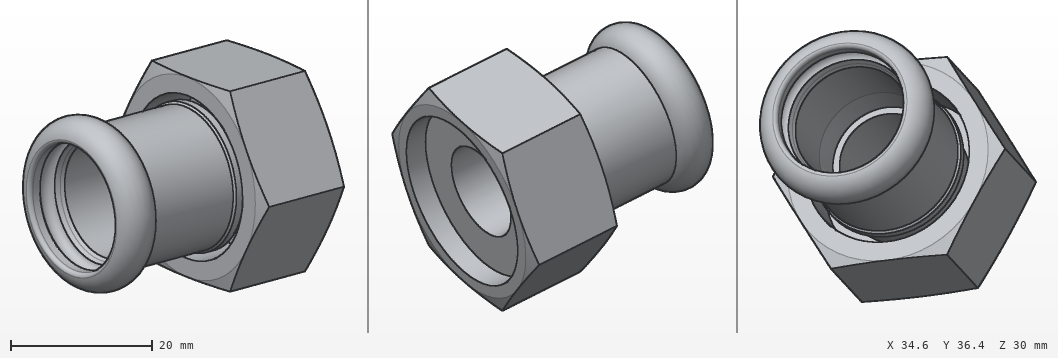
import cadquery as cq
import math

LENGTH = 36.4

ACROSS_FLATS = 30.0
ACROSS_CORNERS = ACROSS_FLATS / math.cos(math.radians(30))
NUT_START = 21.35
NUT_LENGTH = LENGTH - NUT_START
LIP_DIAMETER = 24.4
LIP_THICKNESS = 8.75
LIP_END = NUT_START + LIP_THICKNESS
NUT_BORE_DIAMETER = 26.2
CHAMFER_CIRCLE_DIAMETER = 29.92
CHAMFER_ANGLE = 15.0

TUBE_RADIUS = 21.3 / 2
COLLAR_RADIUS = 22.0 / 2
COLLAR_CONE_START = 20.93
COLLAR_CONE_LENGTH = 0.3
COLLAR_END = 22.5
NECK_RADIUS = 18.7 / 2
FLANGE_START = LIP_END
FLANGE_THICKNESS = 2.9
FLANGE_RADIUS = NUT_BORE_DIAMETER / 2
BEAD_RADIUS = 25.65 / 2
BEAD_LENGTH = 6.5
BEAD_CREST_Y = 3.4

MOUTH_RADIUS = 18.7 / 2
MOUTH_ROUNDING = 0.65
GROOVE_START = 2.05
GROOVE_END = 4.55
GROOVE_DEPTH_RADIUS = 20.53 / 2
GROOVE_CREST_Y = 3.35
INNER_LIP_RADIUS = 18.3 / 2
LEAD_IN_START = 5.28
LEAD_IN_RADIUS = 17.7 / 2
SOCKET_START = 5.9
SOCKET_RADIUS = 17.1 / 2
SOCKET_END = 16.38
STOP_RADIUS = 16.0 / 2
STOP_Y = COLLAR_CONE_START
BORE_RADIUS = 14.0 / 2


def revolve_about_y(profile):
    """Turn a closed (radius, y) outline once around the Y axis."""
    return profile.close().revolve(360, (0, 0, 0), (0, 1, 0))


def make_nut():
    """Hexagonal nut with conically chamfered corners and an inner lip that retains the flange."""
    hexagon = (
        cq.Workplane("XZ", origin=(0, LENGTH, 0))
        .polygon(6, ACROSS_CORNERS)
        .extrude(NUT_LENGTH)
    )
    face_radius = CHAMFER_CIRCLE_DIAMETER / 2
    corner_radius = ACROSS_CORNERS / 2
    chamfer_height = (corner_radius - face_radius) * math.tan(math.radians(CHAMFER_ANGLE))
    chamfer_envelope = revolve_about_y(
        cq.Workplane("XY")
        .moveTo(0, NUT_START)
        .lineTo(face_radius, NUT_START)
        .lineTo(corner_radius, NUT_START + chamfer_height)
        .lineTo(corner_radius, LENGTH - chamfer_height)
        .lineTo(face_radius, LENGTH)
        .lineTo(0, LENGTH)
    )
    bore = (
        cq.Workplane("XZ", origin=(0, LENGTH, 0))
        .circle(NUT_BORE_DIAMETER / 2)
        .extrude(LENGTH - LIP_END)
    )
    lip_hole = (
        cq.Workplane("XZ", origin=(0, LIP_END, 0))
        .circle(LIP_DIAMETER / 2)
        .extrude(LIP_THICKNESS)
    )
    return hexagon.intersect(chamfer_envelope).cut(bore).cut(lip_hole)


def make_fitting():
    """Press fitting: beaded tube with a seal groove, a pipe stop and a flange behind the nut lip."""
    flange_end = FLANGE_START + FLANGE_THICKNESS
    rounding_middle = MOUTH_ROUNDING * (1 - math.sqrt(0.5))
    profile = (
        cq.Workplane("XY")
        .moveTo(MOUTH_RADIUS + MOUTH_ROUNDING, 0)
        .threePointArc((BEAD_RADIUS, BEAD_CREST_Y), (TUBE_RADIUS, BEAD_LENGTH))
        .lineTo(TUBE_RADIUS, COLLAR_CONE_START)
        .lineTo(COLLAR_RADIUS, COLLAR_CONE_START + COLLAR_CONE_LENGTH)
        .lineTo(COLLAR_RADIUS, COLLAR_END)
        .lineTo(NECK_RADIUS, COLLAR_END)
        .lineTo(NECK_RADIUS, FLANGE_START)
        .lineTo(FLANGE_RADIUS, FLANGE_START)
        .lineTo(FLANGE_RADIUS, flange_end)
        .lineTo(BORE_RADIUS, flange_end)
        .lineTo(BORE_RADIUS, STOP_Y)
        .lineTo(STOP_RADIUS, STOP_Y)
        .lineTo(SOCKET_RADIUS, SOCKET_END)
        .lineTo(SOCKET_RADIUS, SOCKET_START)
        .lineTo(LEAD_IN_RADIUS, LEAD_IN_START)
        .lineTo(INNER_LIP_RADIUS, GROOVE_END)
        .threePointArc((GROOVE_DEPTH_RADIUS, GROOVE_CREST_Y), (MOUTH_RADIUS, GROOVE_START))
        .lineTo(MOUTH_RADIUS, MOUTH_ROUNDING)
        .threePointArc(
            (MOUTH_RADIUS + rounding_middle, rounding_middle),
            (MOUTH_RADIUS + MOUTH_ROUNDING, 0),
        )
    )
    return revolve_about_y(profile)


nut = make_nut()
fitting = make_fitting()
result = cq.Compound.makeCompound([nut.val(), fitting.val()])